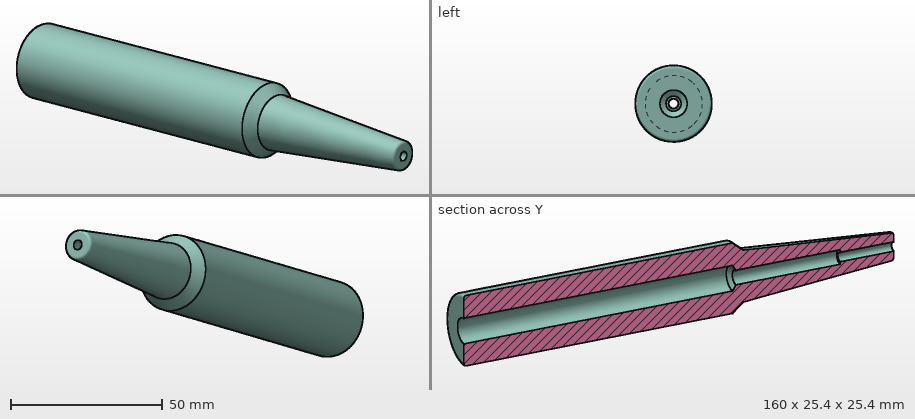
import cadquery as cq
import math

total_length = 160.0
body_diameter = 25.4
body_length = 100.0

shoulder_length = 4.0
nose_tip_diameter = 10.0
nose_half_angle = math.radians(4.5)

end_edge_radius = 1.0

rear_bore_diameter = 9.0
rear_bore_depth = 100.0
mid_bore_diameter = 5.0
tip_bore_diameter = 3.17
tip_bore_length = 20.0
drill_point_half_angle = math.radians(59)

body_radius = body_diameter / 2
nose_tip_radius = nose_tip_diameter / 2
nose_start = body_length + shoulder_length
nose_length = total_length - nose_start
nose_root_radius = nose_tip_radius + nose_length * math.tan(nose_half_angle)


def revolve_about_x(profile):
    """Turn a half profile (X along the axis, Y as radius) about the X axis."""
    return profile.close().revolve(360, (0, 0, 0), (1, 0, 0))


def outer_shape():
    """Cylindrical body, conical shoulder and tapered nose with rounded end edges."""
    blank = revolve_about_x(
        cq.Workplane("XY")
        .lineTo(0, body_radius)
        .lineTo(body_length, body_radius)
        .lineTo(nose_start, nose_root_radius)
        .lineTo(total_length, nose_tip_radius)
        .lineTo(total_length, 0)
    )
    return blank.faces("<X or >X").edges().fillet(end_edge_radius)


def stepped_bore():
    """Rear bore with a drill-point bottom, middle bore and small tip bore."""
    rear_radius = rear_bore_diameter / 2
    mid_radius = mid_bore_diameter / 2
    tip_radius = tip_bore_diameter / 2
    drill_point_length = (rear_radius - mid_radius) / math.tan(drill_point_half_angle)
    tip_bore_start = total_length - tip_bore_length
    return revolve_about_x(
        cq.Workplane("XY")
        .lineTo(0, rear_radius)
        .lineTo(rear_bore_depth, rear_radius)
        .lineTo(rear_bore_depth + drill_point_length, mid_radius)
        .lineTo(tip_bore_start, mid_radius)
        .lineTo(tip_bore_start, tip_radius)
        .lineTo(total_length, tip_radius)
        .lineTo(total_length, 0)
    )


result = outer_shape().cut(stepped_bore())